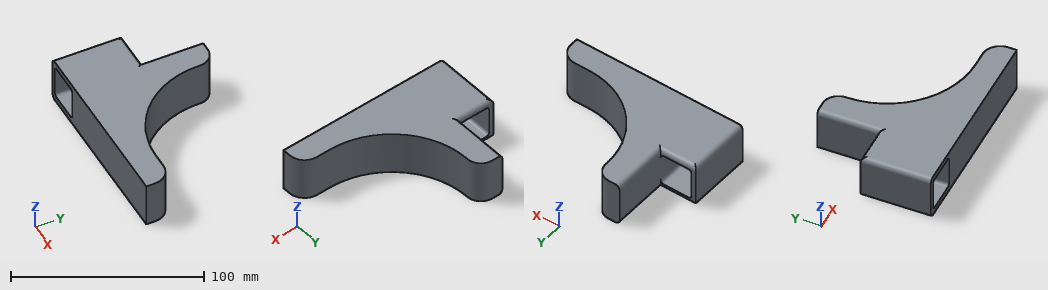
import cadquery as cq

LENGTH = 108.0
DEPTH = 75.0
HEIGHT = 27.0

SOCKET_SIZE = 20.0
SOCKET_WALL = 3.0
SOCKET_DEPTH = 40.0
SOCKET_CORNER_RADIUS = 2.0
socket_right = SOCKET_WALL + SOCKET_SIZE

REAR_ARM_WIDTH = 16.0
SIDE_ARM_WIDTH = 15.0
REAR_TIP_RADIUS = 9.0
SIDE_TIP_RADIUS = 10.0
SWEEP_RADIUS = 50.0

EDGE_RADIUS = 3.0
SELECT_MARGIN = 0.1


def make_body():
    """Bracket plate: its plan outline raised to full height."""
    arm_inner_x = socket_right + REAR_ARM_WIDTH
    sweep_start = (arm_inner_x, SIDE_ARM_WIDTH + SWEEP_RADIUS)
    sweep_end = (arm_inner_x + SWEEP_RADIUS, SIDE_ARM_WIDTH)
    return (
        cq.Workplane("XY")
        .lineTo(LENGTH, 0)
        .lineTo(LENGTH, SIDE_ARM_WIDTH - SIDE_TIP_RADIUS)
        .radiusArc((LENGTH - SIDE_TIP_RADIUS, SIDE_ARM_WIDTH), -SIDE_TIP_RADIUS)
        .lineTo(*sweep_end)
        .radiusArc(sweep_start, SWEEP_RADIUS)
        .lineTo(arm_inner_x, DEPTH - REAR_TIP_RADIUS)
        .radiusArc((arm_inner_x - REAR_TIP_RADIUS, DEPTH), -REAR_TIP_RADIUS)
        .lineTo(socket_right, DEPTH)
        .lineTo(socket_right, SOCKET_DEPTH)
        .lineTo(0, SOCKET_DEPTH)
        .close()
        .extrude(HEIGHT)
    )


def round_left_edges(body):
    """Round the top and bottom edges of the stepped left side."""
    step_edges = cq.selectors.BoxSelector(
        (-SELECT_MARGIN, -SELECT_MARGIN, -SELECT_MARGIN),
        (socket_right + SELECT_MARGIN, DEPTH + SELECT_MARGIN, HEIGHT + SELECT_MARGIN),
        boundingbox=True,
    )
    edges = body.faces("|Z").edges(step_edges)
    return edges.fillet(EDGE_RADIUS)


def make_socket():
    """Square opening with rounded corners, centred in the height."""
    return (
        cq.Workplane("XY")
        .box(SOCKET_SIZE, SOCKET_DEPTH, SOCKET_SIZE, centered=(False, False, True))
        .edges("|Y")
        .fillet(SOCKET_CORNER_RADIUS)
        .translate((SOCKET_WALL, 0, HEIGHT / 2))
    )


result = round_left_edges(make_body()).cut(make_socket())